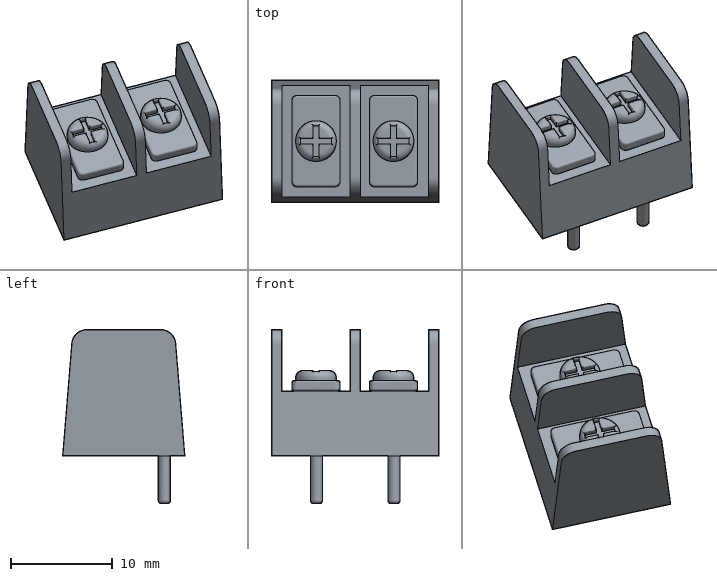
import cadquery as cq

housing_length = 16.43
housing_depth = 12.0
housing_top_depth = 9.99
housing_height = 12.4
floor_height = 6.36
wall_thickness = 1.01
wall_corner_radius = 1.5
bay_count = 2

terminal_pitch = 7.61
pin_diameter = 1.2
pin_tip_radius = 0.3
pin_offset_y = -3.98
overall_height = 17.1

plate_width = 4.72
plate_length = 8.98
plate_thickness = 1.03
plate_corner_radius = 0.51
plate_edge_radius = 0.2
clamp_screw_offset_x = -0.05

head_diameter = 4.0
head_height = 1.01
head_edge_radius = 0.74
recess_span = 3.01
recess_width = 0.55
recess_depth = 0.51
recess_rim_radius = 0.1

bay_pitch = (housing_length - wall_thickness) / bay_count
bay_width = bay_pitch - wall_thickness
bay_height = housing_height - floor_height
pin_projection = overall_height - housing_height
plate_top = floor_height + plate_thickness


def centered_positions(count, pitch):
    """X positions of evenly spaced items centred on X = 0."""
    return [(index - (count - 1) / 2) * pitch for index in range(count)]


def make_housing():
    """Tapered block with rounded top edges and open bays."""
    body = (
        cq.Workplane("YZ", origin=(-housing_length / 2, 0, 0))
        .moveTo(-housing_depth / 2, 0)
        .lineTo(housing_depth / 2, 0)
        .lineTo(housing_top_depth / 2, housing_height)
        .lineTo(-housing_top_depth / 2, housing_height)
        .close()
        .extrude(housing_length)
    )
    body = body.faces(">Z").edges("|X").fillet(wall_corner_radius)

    for x in centered_positions(bay_count, bay_pitch):
        bay = (
            cq.Workplane("XY", origin=(x, 0, floor_height))
            .rect(bay_width, housing_depth)
            .extrude(bay_height)
        )
        body = body.cut(bay)
    return body.solids()


def make_pin(x):
    """Solder pin hanging from the housing underside, rounded at its tip."""
    return (
        cq.Workplane("XY", origin=(x, pin_offset_y, 0))
        .circle(pin_diameter / 2)
        .extrude(-pin_projection)
        .faces("<Z")
        .edges()
        .fillet(pin_tip_radius)
    )


def make_plate(x):
    """Clamp plate with rounded corners and rounded top and bottom edges."""
    return (
        cq.Workplane("XY", origin=(x, 0, floor_height))
        .rect(plate_width, plate_length)
        .extrude(plate_thickness)
        .edges("|Z")
        .fillet(plate_corner_radius)
        .faces("<Z or >Z")
        .edges()
        .fillet(plate_edge_radius)
    )


def make_cross_recess(x):
    """Straight-walled cross cut down from the top of the screw head."""
    head_top = cq.Workplane("XY", origin=(x, 0, plate_top + head_height))
    arm_along_x = head_top.rect(recess_span, recess_width).extrude(-recess_depth)
    arm_along_y = head_top.rect(recess_width, recess_span).extrude(-recess_depth)
    return arm_along_x.union(arm_along_y)


def make_screw_head(x):
    """Domed screw head on top of the plate, with a cross recess that has a rounded rim."""
    head_top = plate_top + head_height
    head = (
        cq.Workplane("XY", origin=(x, 0, plate_top))
        .circle(head_diameter / 2)
        .extrude(head_height)
        .faces(">Z")
        .edges()
        .fillet(head_edge_radius)
        .cut(make_cross_recess(x))
    )
    rim_reach = recess_span / 2 + recess_rim_radius
    rim_zone = cq.selectors.BoxSelector(
        (x - rim_reach, -rim_reach, head_top - 2 * recess_rim_radius),
        (x + rim_reach, rim_reach, head_top + recess_rim_radius),
    )
    rim = head.edges(rim_zone).edges("not %CIRCLE")
    return rim.fillet(recess_rim_radius)


def make_clamp_screw(x):
    """Screw head and captive clamp plate as one solid."""
    return make_plate(x).union(make_screw_head(x)).solids()


housing = make_housing()
pins = []
clamp_screws = []
for terminal_x in centered_positions(bay_count, terminal_pitch):
    pins.append(make_pin(terminal_x).val())
    clamp_screws.append(make_clamp_screw(terminal_x + clamp_screw_offset_x).val())

result = cq.Compound.makeCompound([housing.val(), *pins, *clamp_screws])